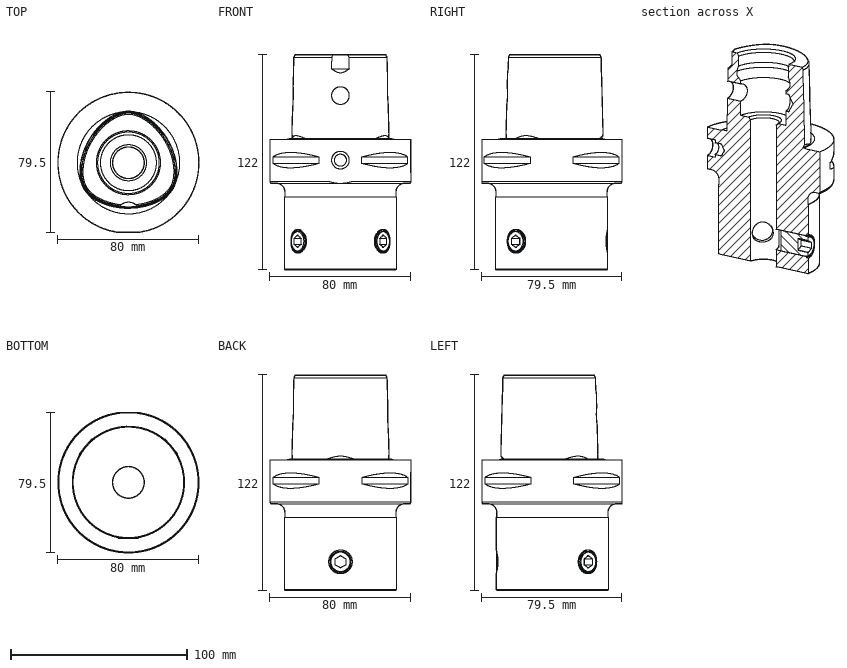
import cadquery as cq
import math

total_height = 122.0
collar_top = 41.2
relief_top = 44.3
flange_bottom = 49.0
flange_top = 74.0
neck_top = 76.4
taper_bottom = 77.1
taper_top = 120.5

collar_radius = 31.8
relief_radius = 31.6
flange_radius = 40.0
flange_bottom_chamfer = 1.0
flange_chamfer_width = 0.5
flange_fillet_radius = flange_bottom - relief_top
collar_chamfer = 0.5
seat_height = 0.4
seat_outer_radius = 30.4
seat_inner_radius = 29.0

lobe_height = 1.7
outline_points = 48
taper_slope = 1 / 40
taper_base_radius = 27.6
taper_tip_radius = taper_base_radius - taper_slope * (taper_top - taper_bottom)
tip_chamfer = 0.7
neck_inset = 0.1
neck_trim_bottom_radius = 28.0
neck_trim_top_radius = taper_base_radius + lobe_height

mouth_radius = 18.2
mouth_depth = 1.8
entry_radius = 17.5
entry_depth = 7.7
groove_radius = 18.5
groove_start_depth = 11.0
groove_end_depth = 12.0
groove_fillet_radius = 2.5
cone_start_radius = 17.7
cone_start_depth = 14.3
main_radius = 15.9
main_start_depth = 16.2
main_floor_depth = 36.6
through_chamfer = 1.3
through_radius = 8.9

key_radius = 6.6
key_center_y = -28.9
key_depth = 8.0

drill_point_half_angle = 59.0
key_point_half_angle = 50.0
shank_hole_height = 98.8
shank_hole_radius = 5.0
shank_hole_end_y = 17.7
flange_hole_height = 62.2
flange_hole_radius = 5.0
flange_hole_depth = 5.5
pilot_radius = 3.4
pilot_depth = 9.8
flat_distance = 39.5

notch_count = 4
notch_height = flange_hole_height
notch_floor_distance = 35.5
notch_floor_width = 3.5
notch_slope = 30.0
notch_start_angle = 45.0

clearance = 1.2

screw_angles = [90, 220, 320]
screw_height = 16.2
screw_radius = 6.0
screw_face_distance = 31.7
screw_length = 19.5
screw_edge_chamfer = 0.5
socket_across_flats = 6.0
socket_depth = 7.3
countersink_radius = 6.7
countersink_drop = 1.8


def lobed_wire(mean_radius, height):
    """Closed three-lobed outline: a circle whose tangent distance swells three times per turn."""
    points = []
    for index in range(outline_points):
        angle = 2 * math.pi * index / outline_points - math.pi / 2
        distance = mean_radius - lobe_height * math.sin(3 * angle)
        swell = -3 * lobe_height * math.cos(3 * angle)
        x = distance * math.cos(angle) - swell * math.sin(angle)
        y = distance * math.sin(angle) + swell * math.cos(angle)
        points.append(cq.Vector(x, y, height))
    return cq.Wire.assembleEdges([cq.Edge.makeSpline(points, periodic=True)])


def lobed_solid(bottom_radius, bottom, top_radius, top):
    wires = [lobed_wire(bottom_radius, bottom), lobed_wire(top_radius, top)]
    return cq.Workplane(cq.Solid.makeLoft(wires, True))


def revolve_profile(profile):
    return profile.close().revolve(360, (0, 0, 0), (0, 1, 0))


def make_base():
    """Turned collar and flange, up to the seat around the shank."""
    fillet = flange_fillet_radius
    arc_middle = math.sin(math.radians(45))
    fillet_end = (relief_radius + fillet, flange_bottom)
    fillet_mid = (relief_radius + fillet * (1 - arc_middle), relief_top + fillet * arc_middle)
    seat_top = flange_top + seat_height
    seat_width = seat_outer_radius - seat_inner_radius
    seat_arc = (seat_width ** 2 + seat_height ** 2) / (2 * seat_height)
    profile = (
        cq.Workplane("XZ")
        .lineTo(collar_radius - collar_chamfer, 0)
        .lineTo(collar_radius, collar_chamfer)
        .lineTo(collar_radius, collar_top)
        .lineTo(relief_radius, collar_top)
        .lineTo(relief_radius, relief_top)
        .threePointArc(fillet_mid, fillet_end)
        .lineTo(flange_radius - flange_chamfer_width, flange_bottom)
        .lineTo(flange_radius, flange_bottom + flange_bottom_chamfer)
        .lineTo(flange_radius, flange_top)
        .lineTo(seat_outer_radius, flange_top)
        .radiusArc((seat_inner_radius, seat_top), seat_arc)
        .lineTo(0, seat_top)
    )
    return revolve_profile(profile)


def make_shank():
    """Three-lobed taper on a neck whose lobes are trimmed by a cone."""
    neck_bottom = flange_top
    neck_radius = taper_base_radius - neck_inset
    neck = lobed_solid(neck_radius, neck_bottom, neck_radius, neck_top)
    trim = revolve_profile(
        cq.Workplane("XZ")
        .moveTo(0, neck_bottom)
        .lineTo(neck_trim_bottom_radius, neck_bottom)
        .lineTo(neck_trim_top_radius, neck_top)
        .lineTo(0, neck_top)
    )
    step = lobed_solid(neck_radius, neck_top, taper_base_radius, taper_bottom)
    taper = lobed_solid(taper_base_radius, taper_bottom, taper_tip_radius, taper_top)
    tip = lobed_solid(taper_tip_radius, taper_top, taper_tip_radius - tip_chamfer, total_height)
    return neck.intersect(trim).union(step).union(taper).union(tip)


def make_bore():
    """Stepped bore, modelled from the bottom up with depths counted from the shank end."""
    def at(radius, depth):
        return (radius, total_height - depth)

    profile = (
        cq.Workplane("XZ")
        .lineTo(through_radius, 0)
        .lineTo(*at(through_radius, main_floor_depth + through_chamfer))
        .lineTo(*at(through_radius + through_chamfer, main_floor_depth))
        .lineTo(*at(main_radius, main_floor_depth))
        .lineTo(*at(main_radius, main_start_depth))
        .lineTo(*at(cone_start_radius, cone_start_depth))
        .radiusArc(at(groove_radius, groove_end_depth), -groove_fillet_radius)
        .lineTo(*at(groove_radius, groove_start_depth))
        .lineTo(*at(entry_radius, entry_depth))
        .lineTo(*at(entry_radius, mouth_depth))
        .lineTo(*at(mouth_radius, 0))
        .lineTo(0, total_height)
    )
    return revolve_profile(profile)


def make_drill(radius, depth, half_angle=drill_point_half_angle):
    """Drill along +Z: a cylinder with a conical point past its depth."""
    point_length = radius / math.tan(math.radians(half_angle))
    return revolve_profile(
        cq.Workplane("XZ")
        .lineTo(radius, 0)
        .lineTo(radius, depth)
        .lineTo(0, depth + point_length)
    )


def make_keyway():
    """Drill sunk from the shank end, its axis just outside the shank wall."""
    drill = make_drill(key_radius, key_depth, key_point_half_angle).rotate((0, 0, 0), (1, 0, 0), 180)
    return drill.translate((0, key_center_y, total_height))


def make_cross_drill(radius, start_y, depth, height):
    drill = make_drill(radius, depth).rotate((0, 0, 0), (1, 0, 0), -90)
    return drill.translate((0, start_y, height))


def make_shank_hole():
    """Drilled from -Y right across the bore, ending in a dent in the far wall."""
    start_y = -taper_base_radius
    return make_cross_drill(shank_hole_radius, start_y, shank_hole_end_y - start_y, shank_hole_height)


def make_flange_hole():
    """Flat counterbore in the flange flat with a narrower drilled hole at its middle."""
    counterbore = (
        cq.Workplane("XZ", origin=(0, -flat_distance, flange_hole_height))
        .circle(flange_hole_radius)
        .extrude(-flange_hole_depth)
    )
    return counterbore.union(make_cross_drill(pilot_radius, -flat_distance, pilot_depth, flange_hole_height))


def make_flange_flat():
    size = flange_radius
    height = flange_top - flange_bottom
    flat = cq.Workplane("XY").box(size, size, height, centered=(True, False, False))
    return flat.translate((0, -flat_distance - size, flange_bottom))


def make_notch(angle):
    """Prism with a flat floor and sloping walls, cut across the flange rim."""
    outer_reach = flange_radius + clearance
    half_floor = notch_floor_width / 2
    half_mouth = half_floor + (outer_reach - notch_floor_distance) * math.tan(math.radians(notch_slope))
    notch = (
        cq.Workplane("XZ")
        .polyline([
            (notch_floor_distance, notch_height - half_floor),
            (outer_reach, notch_height - half_mouth),
            (outer_reach, notch_height + half_mouth),
            (notch_floor_distance, notch_height + half_floor),
        ])
        .close()
        .extrude(flange_radius, both=True)
    )
    return notch.rotate((0, 0, 0), (0, 0, 1), angle)


def place_radially(shape, angle):
    """Lay a shape modelled along +Z onto the screw axis that points outward at an angle."""
    laid = shape.rotate((0, 0, 0), (0, 1, 0), 90).rotate((0, 0, 0), (0, 0, 1), angle)
    return laid.translate((0, 0, screw_height))


def make_screw_hole(angle):
    countersink_depth = countersink_radius - screw_radius
    reach = collar_radius + clearance
    bottom = collar_radius - countersink_drop
    hole = revolve_profile(
        cq.Workplane("XZ")
        .lineTo(screw_radius, 0)
        .lineTo(screw_radius, bottom)
        .lineTo(countersink_radius, bottom + countersink_depth)
        .lineTo(countersink_radius, reach)
        .lineTo(0, reach)
    )
    return place_radially(hole, angle)


def make_screw(angle):
    socket_diameter = socket_across_flats / math.cos(math.radians(30))
    screw = (
        cq.Workplane("XY", origin=(0, 0, screw_face_distance - screw_length))
        .circle(screw_radius)
        .extrude(screw_length)
        .faces(">Z")
        .chamfer(screw_edge_chamfer)
        .faces(">Z")
        .workplane()
        .polygon(6, socket_diameter)
        .cutBlind(-socket_depth)
    )
    return place_radially(screw, angle)


def make_adapter():
    adapter = make_base().union(make_shank())
    adapter = adapter.cut(make_flange_flat())
    for index in range(notch_count):
        adapter = adapter.cut(make_notch(notch_start_angle + index * 360 / notch_count))
    adapter = adapter.cut(make_bore())
    adapter = adapter.cut(make_keyway())
    adapter = adapter.cut(make_shank_hole())
    adapter = adapter.cut(make_flange_hole())
    for angle in screw_angles:
        adapter = adapter.cut(make_screw_hole(angle))
    return adapter


adapter = make_adapter()
screws = [make_screw(angle) for angle in screw_angles]

result = cq.Compound.makeCompound([adapter.val(), *[screw.val() for screw in screws]])